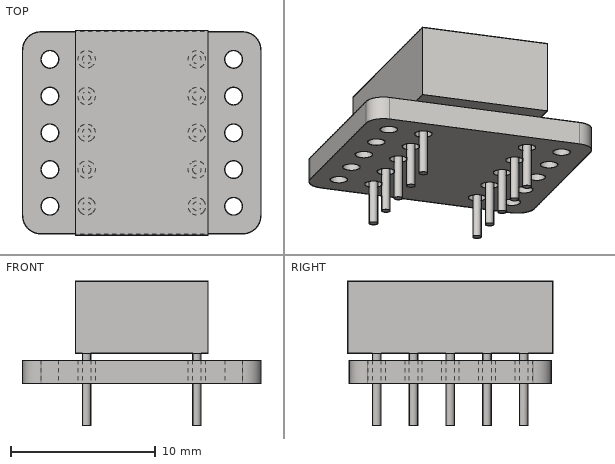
import cadquery as cq

board_length = 16.51
board_width = 14.0
board_thickness = 1.6
corner_radius = 1.27

pitch = 2.55
pins_per_row = 5
pin_diameter = 0.6
pin_row_spacing = 3 * pitch
hole_diameter = 1.2
hole_row_spacing = 5 * pitch

block_length = 9.2
block_width = 14.2
block_height = 5.0
standoff_gap = 0.5
pin_length = 5.0
block_bottom = board_thickness + standoff_gap
pin_bottom = block_bottom - pin_length


def two_rows(row_spacing):
    """Points of two rows along Y, one on each side of the centre."""
    first_y = -pitch * (pins_per_row - 1) / 2
    return [
        (side * row_spacing / 2, first_y + i * pitch)
        for side in (-1, 1)
        for i in range(pins_per_row)
    ]


def make_board():
    """Rounded board with equal holes: two open outer rows and two inner rows that clear the pins."""
    board = (
        cq.Workplane("XY")
        .rect(board_length, board_width)
        .extrude(board_thickness)
        .edges("|Z")
        .fillet(corner_radius)
    )
    holes = (
        cq.Workplane("XY")
        .pushPoints(two_rows(hole_row_spacing) + two_rows(pin_row_spacing))
        .circle(hole_diameter / 2)
        .extrude(board_thickness)
    )
    return board.cut(holes)


def make_component():
    """Rectangular block with two rows of round pins, as one solid."""
    block = (
        cq.Workplane("XY")
        .workplane(offset=block_bottom)
        .rect(block_length, block_width)
        .extrude(block_height)
    )
    pins = (
        cq.Workplane("XY")
        .workplane(offset=pin_bottom)
        .pushPoints(two_rows(pin_row_spacing))
        .circle(pin_diameter / 2)
        .extrude(pin_length)
    )
    return block.union(pins)


board = make_board()
component = make_component()

result = cq.Compound.makeCompound([board.val(), component.val()])